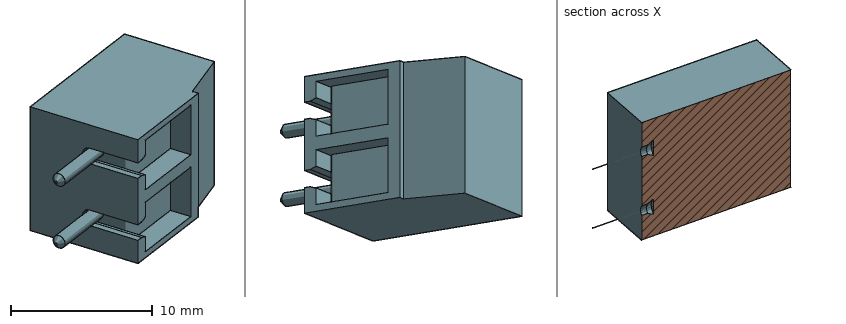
import cadquery as cq
import math

WIDTH = 9.0
DEPTH = 12.5
HEIGHT = 10.0
STEP_Y = 8.0
STEP_INSET = 0.5
BACK_INSET = 1.5

PITCH = 5.0
CONTACT_X = 5.0
CONTACT_HEIGHTS = [HEIGHT / 2 - PITCH / 2, HEIGHT / 2 + PITCH / 2]
PIN_DIAMETER = 1.0
PIN_LENGTH = 4.5
PIN_TIP_CHAMFER = 0.4

SLOT_WIDTH = 1.25
SLOT_DEPTH = 1.0
SLOT_MOUTH_DEPTH = 0.5
SLOT_FLARE = 0.175

CAVITY_HEIGHT = 4.0
CAVITY_DEPTH = 6.0
CAVITY_START_X = 7.0
CAVITY_WALL_X = 7.3
CAVITY_EDGE_RADIUS = 0.4


def make_housing():
    """Block with a ledge and a sloped shoulder on the +X side."""
    outline = [
        (0, 0),
        (WIDTH, 0),
        (WIDTH, STEP_Y),
        (WIDTH - STEP_INSET, STEP_Y),
        (WIDTH - BACK_INSET, DEPTH),
        (0, DEPTH),
    ]
    return cq.Workplane("XY").polyline(outline).close().extrude(HEIGHT)


def make_slot(z):
    """Slot with a round end at the pin, running out through the +X face."""
    mouth_radius = SLOT_WIDTH / 2
    floor_radius = mouth_radius + SLOT_FLARE
    run = WIDTH - CONTACT_X
    section = [
        (0, 0),
        (mouth_radius, 0),
        (mouth_radius, SLOT_MOUTH_DEPTH),
        (floor_radius, SLOT_DEPTH),
        (0, SLOT_DEPTH),
    ]
    half_outline = section[1:-1]
    mirrored = [(-half_width, y) for half_width, y in reversed(half_outline)]
    round_end = cq.Workplane("XY").polyline(section).close().revolve(360, (0, 0), (0, 1))
    straight = cq.Workplane("ZY").polyline(half_outline + mirrored).close().extrude(-run)
    return round_end.union(straight).translate((CONTACT_X, 0, z))


def make_cavity(z):
    """Rectangular wire cavity, entered from the slot floor over a rounded edge."""
    edge_center_x = CAVITY_WALL_X - CAVITY_EDGE_RADIUS
    edge_height = math.sqrt(CAVITY_EDGE_RADIUS**2 - (CAVITY_START_X - edge_center_x) ** 2)
    edge_end_y = SLOT_DEPTH + edge_height
    cavity_end = SLOT_DEPTH + CAVITY_DEPTH
    return (
        cq.Workplane("XY", origin=(0, 0, z - CAVITY_HEIGHT / 2))
        .moveTo(CAVITY_START_X, SLOT_DEPTH)
        .radiusArc((CAVITY_WALL_X, edge_end_y), -CAVITY_EDGE_RADIUS)
        .lineTo(CAVITY_WALL_X, cavity_end)
        .lineTo(WIDTH, cavity_end)
        .lineTo(WIDTH, SLOT_DEPTH)
        .close()
        .extrude(CAVITY_HEIGHT)
    )


def make_pin(z):
    """Round pin standing on the slot floor, with a chamfered tip."""
    return (
        cq.Workplane("XZ", origin=(CONTACT_X, SLOT_DEPTH, z))
        .circle(PIN_DIAMETER / 2)
        .extrude(SLOT_DEPTH + PIN_LENGTH)
        .faces("<Y")
        .chamfer(PIN_TIP_CHAMFER)
    )


result = make_housing()
for contact_z in CONTACT_HEIGHTS:
    result = result.cut(make_slot(contact_z)).cut(make_cavity(contact_z))
for contact_z in CONTACT_HEIGHTS:
    result = result.union(make_pin(contact_z))